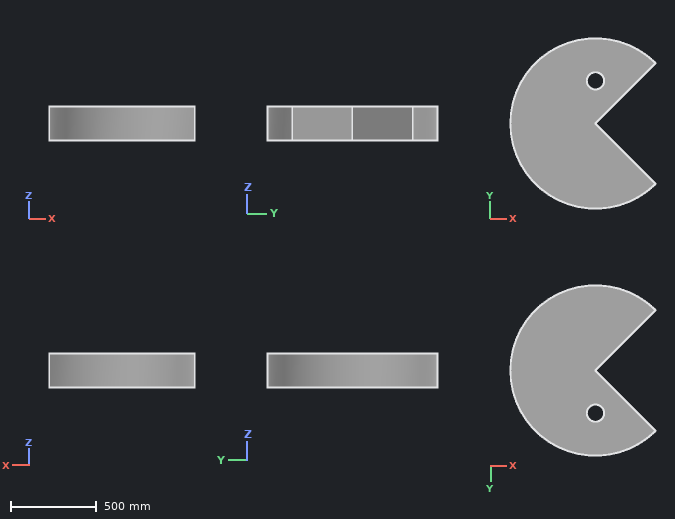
import cadquery as cq
import math

disc_radius = 498.0
thickness = 200.0
mouth_angle = 90.0
eye_diameter = 100.0
eye_offset = disc_radius / 2

half_mouth = math.radians(mouth_angle / 2)
lip_x = disc_radius * math.cos(half_mouth)
lip_y = disc_radius * math.sin(half_mouth)

body = (
    cq.Workplane("XY")
    .moveTo(0, 0)
    .lineTo(lip_x, lip_y)
    .threePointArc((-disc_radius, 0), (lip_x, -lip_y))
    .close()
    .extrude(thickness)
)

eye = (
    cq.Workplane("XY")
    .center(0, eye_offset)
    .circle(eye_diameter / 2)
    .extrude(thickness)
)

result = body.cut(eye)